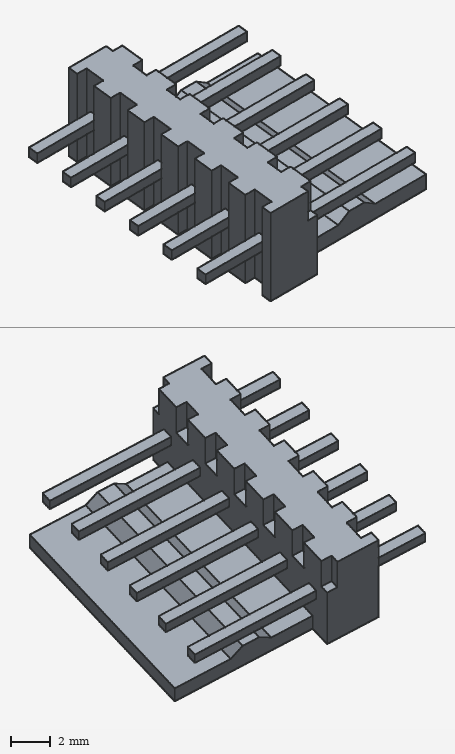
import cadquery as cq

pin_count = 6
pitch = 2.54
pin_size = 0.635
pin_front_y = 0
pin_length = 14.224
pin_center_z = 2.87

block_width = pin_count * pitch
block_front_y = 3.556
block_depth = 3.175
block_height = 5.84
block_back_y = block_front_y + block_depth

slot_width = pitch / 2
slot_depth = 0.635

notch_width = 1.016
notch_depth = 0.635
notch_height = 1.93

tongue_width = (pin_count - 1) * pitch
tongue_end_y = 15.24
tongue_thickness = 0.99
ridge_top_z = 1.5
ridge_center_y = 10.54
ridge_base_length = 2.5
ridge_top_length = 1.016


def box_between(x_center, width, y_start, y_end, z_start, z_end):
    """Box centred on x_center, spanning the given Y and Z ranges."""
    size_y = y_end - y_start
    size_z = z_end - z_start
    return (
        cq.Workplane("XY")
        .box(width, size_y, size_z, centered=(True, False, False))
        .translate((x_center, y_start, z_start))
    )


def make_block():
    """Housing block with its front slots and rear notches."""
    block = box_between(0, block_width, block_front_y, block_back_y, 0, block_height)
    for x in pin_positions:
        slot_floor_y = block_front_y + slot_depth
        block = block.cut(box_between(x, slot_width, block_front_y, slot_floor_y, 0, block_height))
    for x in notch_positions:
        notch_floor_z = block_height - notch_height
        notch_front_y = block_back_y - notch_depth
        block = block.cut(
            box_between(x, notch_width, notch_front_y, block_back_y, notch_floor_z, block_height)
        )
    return block


def make_tongue():
    """Flat tongue with a trapezoidal ridge, extruded along X."""
    profile = [
        (block_back_y, 0),
        (tongue_end_y, 0),
        (tongue_end_y, tongue_thickness),
        (ridge_center_y + ridge_base_length / 2, tongue_thickness),
        (ridge_center_y + ridge_top_length / 2, ridge_top_z),
        (ridge_center_y - ridge_top_length / 2, ridge_top_z),
        (ridge_center_y - ridge_base_length / 2, tongue_thickness),
        (block_back_y, tongue_thickness),
    ]
    return cq.Workplane("YZ").polyline(profile).close().extrude(tongue_width / 2, both=True)


def make_pin(x):
    """Square pin running through the block along Y."""
    bottom_z = pin_center_z - pin_size / 2
    return box_between(
        x, pin_size, pin_front_y, pin_front_y + pin_length, bottom_z, bottom_z + pin_size
    )


pin_positions = [(i - (pin_count - 1) / 2) * pitch for i in range(pin_count)]
notch_positions = [(i - pin_count / 2) * pitch for i in range(pin_count + 1)]

result = make_block().union(make_tongue())
for pin_x in pin_positions:
    result = result.union(make_pin(pin_x))